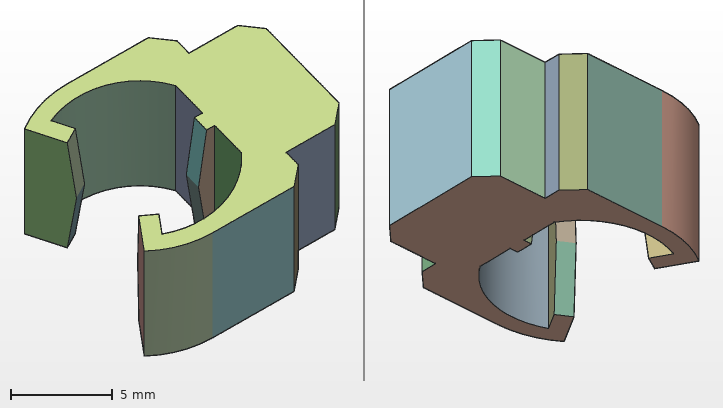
import cadquery as cq
import math

height = 8.0
outer_radius = 6.0
bore_radius = 5.0
top_y = 10.0
tail_y = -3.42
block_half_width = 4.0
block_depth = 4.0
chamfer = 1.0
flat_y = 4.21
lip_thickness = 1.0
lip_length = 2.3
lip_angle = math.radians(30)
rib_width = 1.0
rib_depth = 0.5
peak = 0.5


def arc_point(radius, angle):
    return (radius * math.cos(angle), radius * math.sin(angle))


def offset(point, direction, distance):
    return (point[0] + direction[0] * distance, point[1] + direction[1] * distance)


def ridge(base, direction, width):
    """Triangular prism peaking at mid height, on an end face centred at base."""
    plane = cq.Plane(
        origin=(base[0], base[1], 0),
        xDir=(direction[0], direction[1], 0),
        normal=(direction[1], -direction[0], 0),
    )
    return (
        cq.Workplane(plane)
        .polyline([(0, 0), (peak, height / 2), (0, height)])
        .close()
        .extrude(width / 2, both=True)
    )


lip_direction = (-math.cos(lip_angle), math.sin(lip_angle))
lip_normal = (math.sin(lip_angle), math.cos(lip_angle))
tail_angle = math.asin(tail_y / outer_radius)
tail = arc_point(outer_radius, tail_angle)
lip_outer_tip = offset(tail, lip_direction, lip_length)
lip_inner_tip = offset(lip_outer_tip, lip_normal, lip_thickness)
lip_middle = offset(lip_outer_tip, lip_normal, lip_thickness / 2)

along = lip_inner_tip[0] * lip_direction[0] + lip_inner_tip[1] * lip_direction[1]
across = lip_inner_tip[0] * lip_normal[0] + lip_inner_tip[1] * lip_normal[1]
half_chord = math.sqrt(bore_radius**2 - across**2)
lip_root = offset(lip_inner_tip, lip_direction, -along - half_chord)

root_angle = math.atan2(lip_root[1], lip_root[0])
flat_angle = math.asin(flat_y / bore_radius)
shoulder_y = top_y - block_depth

right_half = (
    cq.Workplane("XY")
    .moveTo(0, top_y)
    .lineTo(block_half_width - chamfer, top_y)
    .lineTo(block_half_width, top_y - chamfer)
    .lineTo(block_half_width, shoulder_y)
    .lineTo(outer_radius - chamfer, shoulder_y)
    .lineTo(outer_radius, shoulder_y - chamfer)
    .lineTo(outer_radius, 0)
    .threePointArc(arc_point(outer_radius, tail_angle / 2), tail)
    .lineTo(*lip_outer_tip)
    .lineTo(*lip_inner_tip)
    .lineTo(*lip_root)
    .threePointArc(
        arc_point(bore_radius, (root_angle + flat_angle) / 2),
        arc_point(bore_radius, flat_angle),
    )
    .lineTo(rib_width / 2, flat_y)
    .lineTo(rib_width / 2, flat_y - rib_depth)
    .lineTo(0, flat_y - rib_depth)
    .close()
    .extrude(height)
    .union(ridge(lip_middle, lip_direction, lip_thickness))
)

rib_ridge = ridge((0, flat_y - rib_depth), (0, -1), rib_width)

result = right_half.union(right_half.mirror("YZ")).union(rib_ridge).clean()